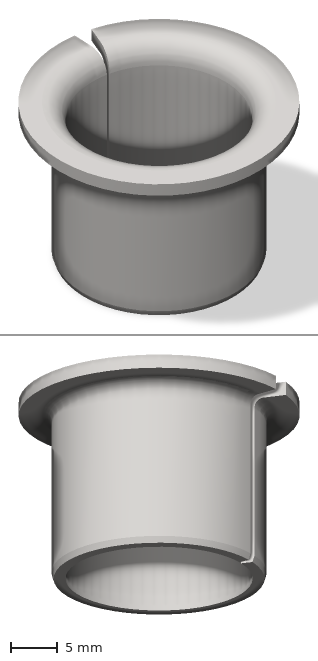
import cadquery as cq
import math

flange_radius = 15.0
bore_radius = 9.98
wall = 1.5
height = 20.0
mouth_radius = 2.5
neck_radius = 1.0
chamfer_height = 0.7
chamfer_width = 0.25
slit_inner_width = 0.35
slit_outer_width = 2.13

sleeve_radius = bore_radius + wall
flange_bottom = height - wall


def arc_point(center_x, center_z, radius, degrees):
    """Point on a circle in the radial section."""
    angle = math.radians(degrees)
    return center_x + radius * math.cos(angle), center_z + radius * math.sin(angle)


def bushing_body():
    mouth_mid = arc_point(bore_radius + mouth_radius, height - mouth_radius, mouth_radius, 135)
    neck_mid = arc_point(sleeve_radius + neck_radius, flange_bottom - neck_radius, neck_radius, 135)
    section = (
        cq.Workplane("XZ")
        .moveTo(bore_radius, 0)
        .lineTo(sleeve_radius - chamfer_width, 0)
        .lineTo(sleeve_radius, chamfer_height)
        .lineTo(sleeve_radius, flange_bottom - neck_radius)
        .threePointArc(neck_mid, (sleeve_radius + neck_radius, flange_bottom))
        .lineTo(flange_radius, flange_bottom)
        .lineTo(flange_radius, height)
        .lineTo(bore_radius + mouth_radius, height)
        .threePointArc(mouth_mid, (bore_radius, height - mouth_radius))
        .close()
    )
    body = section.revolve(360, (0, 0, 0), (0, 1, 0))
    return body.rotate((0, 0, 0), (0, 0, 1), 180)


def slit():
    """Wedge on the -X side, through the full height, widening outward."""
    spread = (slit_outer_width - slit_inner_width) / 2 / (flange_radius - bore_radius)
    apex = bore_radius - slit_inner_width / 2 / spread
    reach = flange_radius + wall
    half_width = (reach - apex) * spread
    outline = [(-apex, 0), (-reach, half_width), (-reach, -half_width)]
    return cq.Workplane("XY").polyline(outline).close().extrude(height)


result = bushing_body().cut(slit())